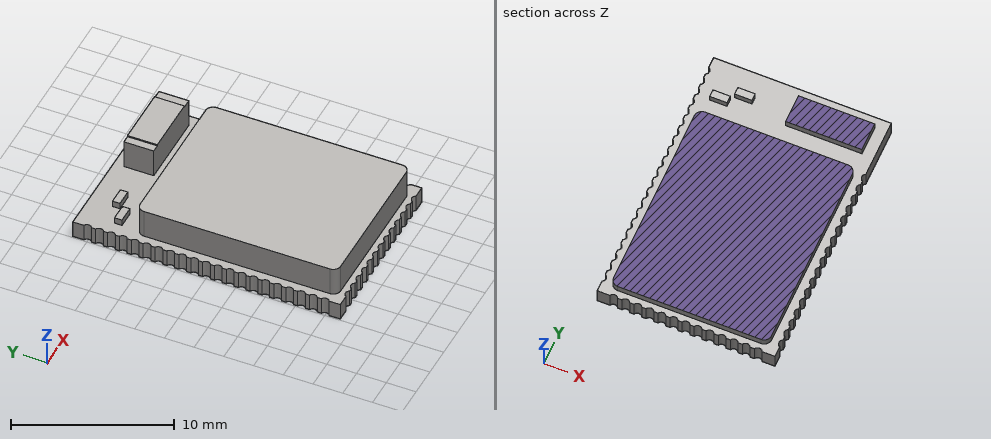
import cadquery as cq

BOARD_X = 11.8
BOARD_Y = 18.0
BOARD_THICKNESS = 1.19
TOTAL_HEIGHT = 3.3

NOTCH_END_MARGIN = 1.0
NOTCH_RADIUS = 0.29
NOTCH_DEPTH = 0.16
LEFT_NOTCH_COUNT = 21
RIGHT_NOTCH_COUNT = 17
FRONT_NOTCH_COUNT = 13
NOTCH_PITCH = (BOARD_Y - 2 * NOTCH_END_MARGIN) / (LEFT_NOTCH_COUNT - 1)

SHIELD_X = 10.51
SHIELD_Y = 13.5
SHIELD_HEIGHT = 2.02
SHIELD_FRONT_MARGIN = 0.5
SHIELD_CORNER_RADIUS = 0.5

ANTENNA_LEFT = 5.92
ANTENNA_X = 5.1
ANTENNA_Y = 2.02
ANTENNA_BACK_MARGIN = 0.68
LEFT_CAP_X = 0.52
RIGHT_CAP_X = 0.65
CAP_DROP = 0.09

CHIP_X = 1.15
CHIP_Y = 0.5
CHIP_HEIGHT = 0.43
CHIP_CORNERS = [(0.97, 15.14), (2.3, 15.9)]


def block_on_board(left, front, size_x, size_y, height):
    """Rectangular block standing on the top face of the board."""
    return cq.Workplane("XY", origin=(left, front, BOARD_THICKNESS)).box(
        size_x, size_y, height, centered=False
    )


def notch_centers():
    """Centres of the notch circles, lying just outside the left, right and front edges."""
    offset = NOTCH_RADIUS - NOTCH_DEPTH
    first_x = (BOARD_X - (FRONT_NOTCH_COUNT - 1) * NOTCH_PITCH) / 2
    left = [(-offset, NOTCH_END_MARGIN + i * NOTCH_PITCH) for i in range(LEFT_NOTCH_COUNT)]
    right = [(BOARD_X + offset, NOTCH_END_MARGIN + i * NOTCH_PITCH) for i in range(RIGHT_NOTCH_COUNT)]
    front = [(first_x + i * NOTCH_PITCH, -offset) for i in range(FRONT_NOTCH_COUNT)]
    return left + right + front


def make_board():
    plate = cq.Workplane("XY").box(BOARD_X, BOARD_Y, BOARD_THICKNESS, centered=False)
    notches = (
        cq.Workplane("XY")
        .pushPoints(notch_centers())
        .circle(NOTCH_RADIUS)
        .extrude(BOARD_THICKNESS)
    )
    return plate.cut(notches)


def make_shield():
    left = (BOARD_X - SHIELD_X) / 2
    can = block_on_board(left, SHIELD_FRONT_MARGIN, SHIELD_X, SHIELD_Y, SHIELD_HEIGHT)
    return can.edges("|Z").fillet(SHIELD_CORNER_RADIUS)


def make_antenna():
    front = BOARD_Y - ANTENNA_BACK_MARGIN - ANTENNA_Y
    body_height = TOTAL_HEIGHT - BOARD_THICKNESS
    body_x = ANTENNA_X - LEFT_CAP_X - RIGHT_CAP_X
    caps = block_on_board(ANTENNA_LEFT, front, ANTENNA_X, ANTENNA_Y, body_height - CAP_DROP)
    body = block_on_board(ANTENNA_LEFT + LEFT_CAP_X, front, body_x, ANTENNA_Y, body_height)
    return caps.union(body)


result = make_board().union(make_shield()).union(make_antenna())
for chip_left, chip_front in CHIP_CORNERS:
    result = result.union(block_on_board(chip_left, chip_front, CHIP_X, CHIP_Y, CHIP_HEIGHT))